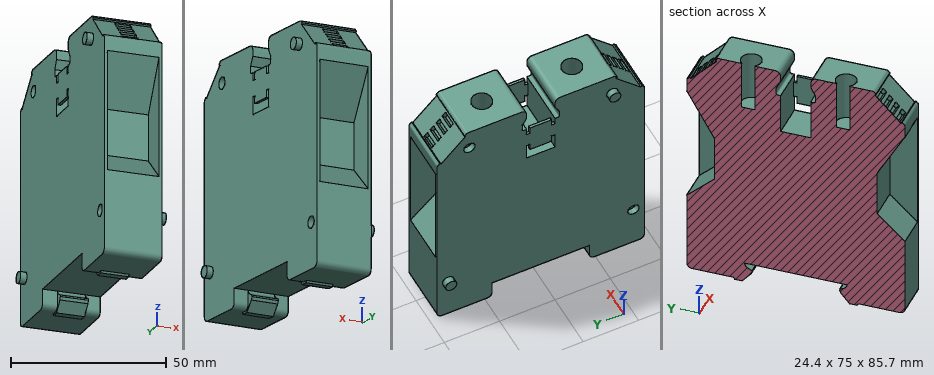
import cadquery as cq

height = 85.7
length = 75.0
body_width = 20.0
pin_length = 2.2

half_length = length / 2
half_width = body_width / 2

foot_height = 0.7
corner_radius = 2.0
shoulder_leg = 10.8
shoulder_fillet = 0.9
rail_half_width = 17.6
rail_top = 7.2

label_recess = 0.6
label_length = 12.5

vent_count = 4
vent_pitch = 3.1
vent_width = 1.7
vent_length = 5.4
vent_depth = 1.7
vent_shift = 0.25

channel_half_width = 5.1
waist_half_width = 6.7
waist_bottom = 76.3
waist_corner = 78.85
mouth_bottom = 81.8
waist_fillet = 0.5
channel_floor = 62.2

plate_thickness = 0.9
plate_half_width = 3.9
plate_bottom = 65.7
plate_top = waist_bottom
bridge_bottom = 68.2
bridge_top = 73.7

screw_diameter = 7.0
screw_depth = 17.1
screw_offset = 16.3

funnel_width = 17.7
funnel_depth = 9.5
funnel_top = 70.2
funnel_back_top = 53.7
funnel_back_bottom = 37.9
funnel_bottom = 29.2

pin_diameter = 4.0
socket_depth = pin_length
upper_pin = (25.8, 78.0)
lower_pin = (33.5, 16.45)

hook_width = 9.7
hook_throat_middle = (17.0, 6.1)
hook_throat_end = (16.2, 5.6)
hook_tip = 15.0
hook_tip_top = 5.0
hook_tip_bottom = 4.45
hook_ramp_top = 15.4
hook_ramp_height = 3.4
hook_ramp_bottom = 18.4
hook_heel = 21.4
hook_heel_slope = 0.4


def extrude_x(sketch, width):
    """Extrude a sketch on the YZ plane symmetrically about X = 0."""
    return sketch.extrude(width / 2, both=True)


def block(width, y_min, y_max, z_min, z_max):
    """Box centred on X = 0 between the given Y and Z limits."""
    return cq.Workplane("XY").box(width, y_max - y_min, z_max - z_min).translate(
        (0, (y_min + y_max) / 2, (z_min + z_max) / 2)
    )


def both_ends(shape):
    """The shape together with its mirror image at the other end."""
    return shape.union(shape.mirror("XZ"))


def on_shoulder(shape):
    """Move a shape from the origin to the shoulder at +Y, with its Z along the face normal."""
    middle = shoulder_leg / 2
    return shape.rotate((0, 0, 0), (1, 0, 0), -45).translate((0, half_length - middle, height - middle))


def make_body():
    body = block(body_width, -half_length, half_length, foot_height, height)
    body = body.cut(block(body_width, -rail_half_width, rail_half_width, foot_height, rail_top))
    body = body.edges("|X and <Z").fillet(corner_radius)
    body = body.edges("|X and >Z").chamfer(shoulder_leg)
    shoulder_edges = body.faces(">Z").edges("|X").add(
        body.faces(">Y or <Y").edges("|X and >Z")
    )
    return shoulder_edges.fillet(shoulder_fillet)


def make_shoulder_cuts():
    label = cq.Workplane("XY").box(body_width, label_length, 2 * label_recess)
    vents = cq.Workplane("XY")
    for index in range(vent_count):
        along = (index - (vent_count - 1) / 2) * vent_pitch + vent_shift
        vent = cq.Workplane("XY").box(vent_length, vent_width, 2 * (label_recess + vent_depth))
        vents = vents.union(vent.translate((0, along, 0)))
    return both_ends(on_shoulder(label.union(vents)))


def make_channel():
    channel = block(body_width, -channel_half_width, channel_half_width, channel_floor, height)
    waist = extrude_x(
        cq.Workplane("YZ").polyline(
            [
                (-waist_half_width, waist_bottom),
                (waist_half_width, waist_bottom),
                (waist_half_width, waist_corner),
                (channel_half_width, mouth_bottom),
                (-channel_half_width, mouth_bottom),
                (-waist_half_width, waist_corner),
            ]
        ).close(),
        body_width,
    )
    return channel.union(waist.edges("|X and <Z").fillet(waist_fillet))


def make_end_plates():
    plates = block(body_width, -plate_half_width, plate_half_width, plate_bottom, plate_top)
    plates = plates.union(
        block(body_width, -channel_half_width, channel_half_width, bridge_bottom, bridge_top)
    )
    inside = body_width - 2 * plate_thickness
    return plates.cut(block(inside, -channel_half_width, channel_half_width, plate_bottom, plate_top))


def make_screw_holes():
    hole = cq.Workplane("XY", origin=(0, screw_offset, height - screw_depth))
    return both_ends(hole.circle(screw_diameter / 2).extrude(screw_depth))


def make_funnels():
    back = half_length - funnel_depth
    outline = cq.Workplane("YZ").polyline(
        [
            (half_length, funnel_bottom),
            (back, funnel_back_bottom),
            (back, funnel_back_top),
            (half_length, funnel_top),
        ]
    ).close()
    return both_ends(extrude_x(outline, funnel_width))


def side_cylinders(x_start, depth, points):
    return (
        cq.Workplane("YZ", origin=(x_start, 0, 0))
        .pushPoints(points)
        .circle(pin_diameter / 2)
        .extrude(depth)
    )


def make_hooks():
    outline = (
        cq.Workplane("YZ")
        .moveTo(rail_half_width, rail_top)
        .threePointArc(hook_throat_middle, hook_throat_end)
        .lineTo(hook_tip, hook_tip_top)
        .lineTo(hook_tip, hook_tip_bottom)
        .lineTo(hook_ramp_top, hook_ramp_height)
        .lineTo(hook_ramp_bottom, 0)
        .lineTo(hook_heel - hook_heel_slope, 0)
        .lineTo(hook_heel, foot_height)
        .lineTo(hook_heel, rail_top)
        .close()
    )
    return both_ends(extrude_x(outline, hook_width))


def flip(point):
    """The same place at the other end of the part."""
    return (-point[0], point[1])


left_pins = [flip(upper_pin), lower_pin]
right_pins = [upper_pin, flip(lower_pin)]

result = make_body().cut(make_shoulder_cuts()).cut(make_channel())

mouth_edges = result.faces(">Z").edges("|X").filter(lambda edge: abs(edge.Center().y) < screw_offset)
result = mouth_edges.fillet(corner_radius)

result = result.union(make_end_plates()).cut(make_screw_holes()).cut(make_funnels())

result = result.cut(side_cylinders(-half_width, socket_depth, right_pins))
result = result.cut(side_cylinders(half_width, -socket_depth, left_pins))
result = result.union(side_cylinders(-half_width, -pin_length, left_pins))
result = result.union(side_cylinders(half_width, pin_length, right_pins))
result = result.union(make_hooks())